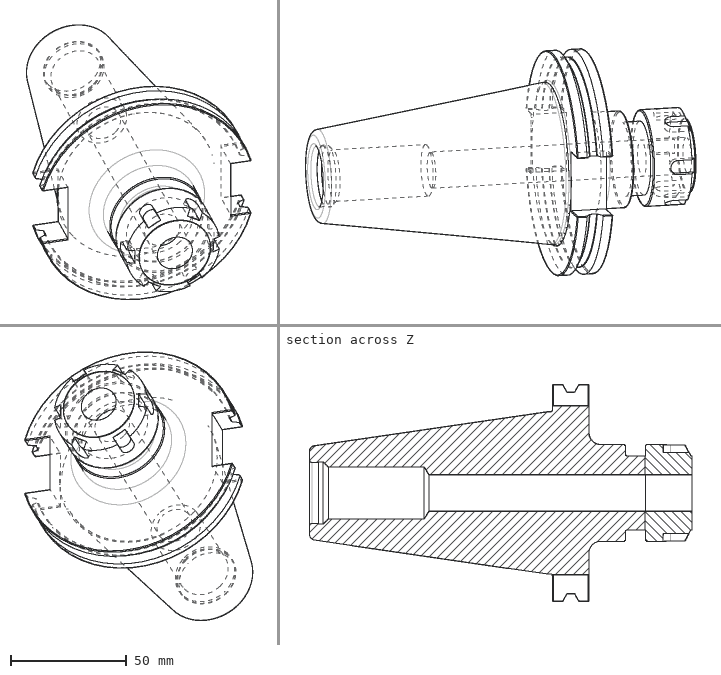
import cadquery as cq
import math


TOTAL_LENGTH = 165.1
BORE_RADIUS = 15.7 / 2
FILLET_MID = 1 - math.sqrt(0.5)
TOLERANCE = 0.002

TAPER_RATIO = 7 / 24
TAPER_END_X = 102.7
SHANK_RADIUS = 70.2 / 2
SHANK_END_ROUND = 2.5
SMALL_END_RADIUS = SHANK_RADIUS - TAPER_RATIO / 2 * TAPER_END_X

MOUTH_RADIUS = 28.5 / 2
PILOT_RADIUS = 26.3 / 2
PILOT_END_X = 4.0
RELIEF_RADIUS = 26.7 / 2
RELIEF_END_X = 6.0
THREAD_RADIUS = 22.3 / 2
THREAD_END_X = 49.5
DRILL_POINT_ANGLE = 118.0

FLANGE_START_X = 104.9
FLANGE_END_X = 120.7
FLANGE_RADIUS = 97.5 / 2
FLANGE_CHAMFER = 0.41
SHANK_FILLET = 0.8

GROOVE_CENTER_X = (FLANGE_START_X + FLANGE_END_X) / 2
GROOVE_FLOOR_WIDTH = 3.3
GROOVE_FLOOR_RADIUS = 45.4
GROOVE_FILLET = 0.3
GROOVE_HALF_ANGLE = 30.0

SLOT_WIDTH = 25.8
SLOT_FLOOR_FRONT = 35.3
SLOT_FLOOR_BACK = 37.6

COLLAR_RADIUS = 42.0 / 2
COLLAR_END_X = 136.4
COLLAR_CHAMFER = 0.5
COLLAR_FILLET = 5.0
NECK_RADIUS = 32.0 / 2
NECK_FILLET = 0.8

NUT_START_X = 145.0
NUT_RADIUS = COLLAR_RADIUS
NUT_BACK_CHAMFER = 0.5
NUT_CONE_START_X = 162.1
NUT_CONE_END_X = 164.6
NUT_TIP_RADIUS = 16.0

SPANNER_SLOT_COUNT = 6
SPANNER_SLOT_WIDTH = 6.3
SPANNER_SLOT_START_X = 152.7
SPANNER_SLOT_END_X = 163.8
SPANNER_SLOT_FLOOR = 17.5


def revolve_about_x(outline):
    """Solid of revolution of a closed (x, radius) outline."""
    return outline.close().revolve(360, (0, 0, 0), (1, 0, 0))


def is_groove_floor_edge(edge):
    return math.isclose(edge.radius(), GROOVE_FLOOR_RADIUS, abs_tol=TOLERANCE)


def is_flange_outer_edge(edge):
    """True for the rim edges on the flange faces and the slot edges on the faces and the rim."""
    middle = edge.positionAt(0.5)
    on_face = any(abs(middle.x - x) < TOLERANCE for x in (FLANGE_START_X, FLANGE_END_X))
    on_rim = abs(math.hypot(middle.y, middle.z) - FLANGE_RADIUS) < TOLERANCE
    on_slot_wall = abs(abs(middle.z) - SLOT_WIDTH / 2) < TOLERANCE and abs(middle.y) > SLOT_FLOOR_FRONT
    return (on_face and on_rim) or (on_slot_wall and (on_face or on_rim))


def holder_blank():
    groove_run = (FLANGE_RADIUS - GROOVE_FLOOR_RADIUS) * math.tan(math.radians(GROOVE_HALF_ANGLE))
    floor_half = GROOVE_FLOOR_WIDTH / 2
    mouth_half = floor_half + groove_run
    outline = (
        cq.Workplane("XY")
        .moveTo(0, 0)
        .lineTo(0, SMALL_END_RADIUS)
        .lineTo(TAPER_END_X, SHANK_RADIUS)
        .lineTo(FLANGE_START_X - SHANK_FILLET, SHANK_RADIUS)
        .threePointArc(
            (FLANGE_START_X - SHANK_FILLET * FILLET_MID, SHANK_RADIUS + SHANK_FILLET * FILLET_MID),
            (FLANGE_START_X, SHANK_RADIUS + SHANK_FILLET),
        )
        .lineTo(FLANGE_START_X, FLANGE_RADIUS)
        .lineTo(GROOVE_CENTER_X - mouth_half, FLANGE_RADIUS)
        .lineTo(GROOVE_CENTER_X - floor_half, GROOVE_FLOOR_RADIUS)
        .lineTo(GROOVE_CENTER_X + floor_half, GROOVE_FLOOR_RADIUS)
        .lineTo(GROOVE_CENTER_X + mouth_half, FLANGE_RADIUS)
        .lineTo(FLANGE_END_X, FLANGE_RADIUS)
        .lineTo(FLANGE_END_X, COLLAR_RADIUS + COLLAR_FILLET)
        .threePointArc(
            (FLANGE_END_X + COLLAR_FILLET * FILLET_MID, COLLAR_RADIUS + COLLAR_FILLET * FILLET_MID),
            (FLANGE_END_X + COLLAR_FILLET, COLLAR_RADIUS),
        )
        .lineTo(COLLAR_END_X - COLLAR_CHAMFER, COLLAR_RADIUS)
        .lineTo(COLLAR_END_X, COLLAR_RADIUS - COLLAR_CHAMFER)
        .lineTo(COLLAR_END_X, NECK_RADIUS + NECK_FILLET)
        .threePointArc(
            (COLLAR_END_X + NECK_FILLET * FILLET_MID, NECK_RADIUS + NECK_FILLET * FILLET_MID),
            (COLLAR_END_X + NECK_FILLET, NECK_RADIUS),
        )
        .lineTo(NUT_START_X, NECK_RADIUS)
        .lineTo(NUT_START_X, 0)
    )
    blank = revolve_about_x(outline).faces("<X").edges().fillet(SHANK_END_ROUND)
    return blank.edges("%CIRCLE").filter(is_groove_floor_edge).fillet(GROOVE_FILLET)


def holder_bore():
    """Stepped opening, threaded hole with a conical end, and through bore."""
    point_length = (THREAD_RADIUS - BORE_RADIUS) / math.tan(math.radians(DRILL_POINT_ANGLE / 2))
    mouth_round = MOUTH_RADIUS - PILOT_RADIUS
    entry_length = RELIEF_RADIUS - THREAD_RADIUS
    outline = (
        cq.Workplane("XY")
        .moveTo(0, 0)
        .lineTo(0, MOUTH_RADIUS)
        .threePointArc(
            (mouth_round * FILLET_MID, PILOT_RADIUS + mouth_round * FILLET_MID),
            (mouth_round, PILOT_RADIUS),
        )
        .lineTo(PILOT_END_X, PILOT_RADIUS)
        .lineTo(PILOT_END_X, RELIEF_RADIUS)
        .lineTo(RELIEF_END_X, RELIEF_RADIUS)
        .lineTo(RELIEF_END_X + entry_length, THREAD_RADIUS)
        .lineTo(THREAD_END_X, THREAD_RADIUS)
        .lineTo(THREAD_END_X + point_length, BORE_RADIUS)
        .lineTo(NUT_START_X, BORE_RADIUS)
        .lineTo(NUT_START_X, 0)
    )
    return revolve_about_x(outline)


def driving_slot(side, floor_distance):
    """Cutter for one slot across the flange; side is -1 for -Y and +1 for +Y."""
    depth = FLANGE_RADIUS - floor_distance
    return cq.Workplane("XY").box(FLANGE_END_X - FLANGE_START_X, depth, SLOT_WIDTH).translate(
        ((FLANGE_START_X + FLANGE_END_X) / 2, side * (floor_distance + depth / 2), 0)
    )


def make_holder():
    holder = (
        holder_blank()
        .cut(holder_bore())
        .cut(driving_slot(-1, SLOT_FLOOR_FRONT))
        .cut(driving_slot(1, SLOT_FLOOR_BACK))
    )
    return holder.edges().filter(is_flange_outer_edge).chamfer(FLANGE_CHAMFER)


def nut_blank():
    outline = (
        cq.Workplane("XY")
        .moveTo(NUT_START_X, BORE_RADIUS)
        .lineTo(NUT_START_X, NUT_RADIUS - NUT_BACK_CHAMFER)
        .lineTo(NUT_START_X + NUT_BACK_CHAMFER, NUT_RADIUS)
        .lineTo(NUT_CONE_START_X, NUT_RADIUS)
        .lineTo(NUT_CONE_END_X, NUT_TIP_RADIUS)
        .lineTo(TOTAL_LENGTH, NUT_TIP_RADIUS)
        .lineTo(TOTAL_LENGTH, BORE_RADIUS)
    )
    return revolve_about_x(outline)


def spanner_slot(angle):
    """Cutter for a slot with a flat floor, rounded at one end and square near the nut's tip."""
    half_width = SPANNER_SLOT_WIDTH / 2
    arc_center_x = SPANNER_SLOT_START_X + half_width
    return (
        cq.Workplane("XZ", origin=(0, -SPANNER_SLOT_FLOOR, 0))
        .moveTo(SPANNER_SLOT_END_X, -half_width)
        .lineTo(arc_center_x, -half_width)
        .threePointArc((SPANNER_SLOT_START_X, 0), (arc_center_x, half_width))
        .lineTo(SPANNER_SLOT_END_X, half_width)
        .close()
        .extrude(NUT_RADIUS - SPANNER_SLOT_FLOOR)
        .rotate((0, 0, 0), (1, 0, 0), angle)
    )


def make_nut():
    nut = nut_blank()
    for index in range(SPANNER_SLOT_COUNT):
        nut = nut.cut(spanner_slot(index * 360 / SPANNER_SLOT_COUNT))
    return nut


holder = make_holder()
nut = make_nut()

result = cq.Compound.makeCompound([holder.val(), nut.val()])